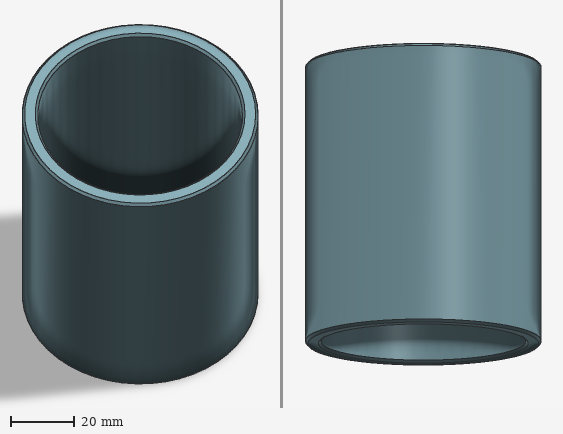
import cadquery as cq

length = 90.0
outer_diameter = 75.0
bore_diameter = 65.0
chamfer_size = 0.8

tube = (
    cq.Workplane("XY")
    .circle(outer_diameter / 2)
    .circle(bore_diameter / 2)
    .extrude(length)
)

result = tube.faces("<Z or >Z").edges().chamfer(chamfer_size)